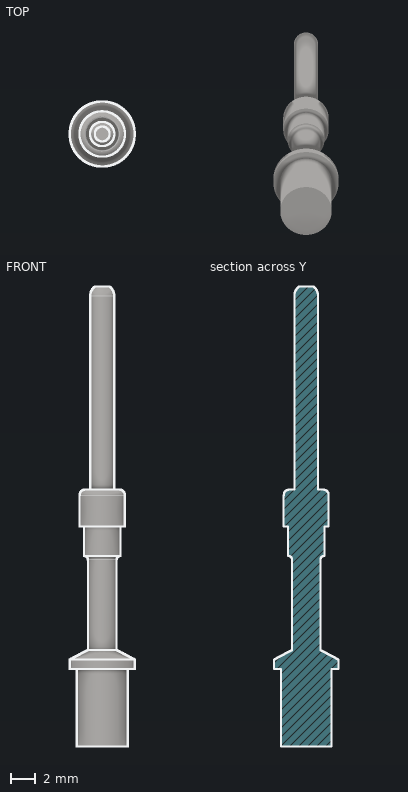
import cadquery as cq

pin_diameter = 2.0
collar_diameter = 3.7
step_diameter = 3.0
neck_diameter = 2.35
flange_diameter = 5.3
barrel_diameter = 4.2

flange_bottom = 6.3
flange_rim_top = 7.05
flange_cone_top = 7.85
step_bottom = 15.5
collar_bottom = 17.88
collar_top = 20.9
total_length = 37.4

collar_rounding = 0.5
neck_fillet = 0.3
tip_round_height = 0.8


def cylinder(diameter, bottom, top):
    return cq.Workplane("XY").workplane(offset=bottom).circle(diameter / 2).extrude(top - bottom)


def cone(bottom_diameter, top_diameter, bottom, top):
    return (
        cq.Workplane("XY")
        .workplane(offset=bottom)
        .circle(bottom_diameter / 2)
        .workplane(offset=top - bottom)
        .circle(top_diameter / 2)
        .loft(ruled=True)
    )


def pin():
    """Straight pin whose tip is a sphere of the pin's radius, cut flat at the end."""
    tip_start = total_length - tip_round_height
    tip_sphere = cq.Workplane("XY").sphere(pin_diameter / 2).translate((0, 0, tip_start))
    tip = tip_sphere.intersect(cylinder(pin_diameter * 2, tip_start, total_length))
    return cylinder(pin_diameter, collar_top, tip_start).union(tip)


def collar():
    """Collar with a rounded upper rim."""
    band = cylinder(collar_diameter, collar_bottom, collar_top)
    return band.faces(">Z").edges().fillet(collar_rounding)


def neck_and_step():
    """Neck that flares through a concave fillet into the wider step under the collar."""
    neck = cylinder(neck_diameter, flange_cone_top, step_bottom)
    step = cylinder(step_diameter, step_bottom, collar_bottom)
    inner_corner = cq.selectors.RadiusNthSelector(0)
    return neck.union(step).faces("<Z[1]").edges(inner_corner).fillet(neck_fillet)


def flange():
    """Flat-rimmed flange with a conical upper face."""
    rim = cylinder(flange_diameter, flange_bottom, flange_rim_top)
    shoulder = cone(flange_diameter, neck_diameter, flange_rim_top, flange_cone_top)
    return rim.union(shoulder)


barrel = cylinder(barrel_diameter, 0, flange_bottom)

result = barrel.union(flange()).union(neck_and_step()).union(collar()).union(pin())